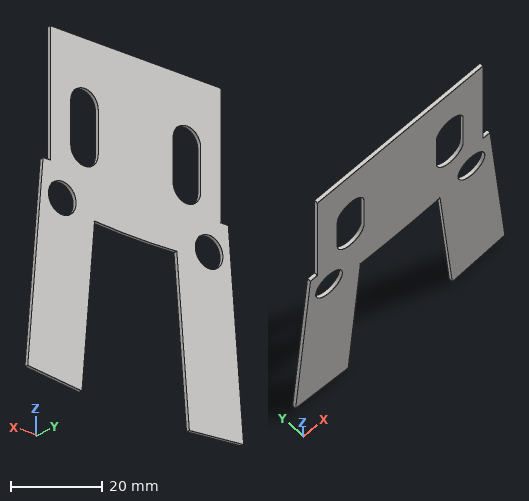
import cadquery as cq
import math

height = 85.1
overall_width = 63.2
thickness = 1.0

plate_width = 50.05
shoulder_z = 52.8

leg_width = 16.0
leg_angle = math.radians(5)
crotch_z = 42.0
crotch_sag = 0.3

opening_diameter = 8.0
slot_length = 18.6
slot_spacing = 30.0
slot_z = 63.7
hole_spacing = 43.0
hole_z = 44.7

outer_tip_x = overall_width / 2
outer_tip_z = leg_width * math.sin(leg_angle)
inner_tip_x = outer_tip_x - leg_width * math.cos(leg_angle)
shoulder_x = outer_tip_x - (shoulder_z - outer_tip_z) * math.tan(leg_angle)
crotch_x = inner_tip_x - crotch_z * math.tan(leg_angle)

right_side = [
    (plate_width / 2, height),
    (plate_width / 2, shoulder_z),
    (shoulder_x, shoulder_z),
    (outer_tip_x, outer_tip_z),
    (inner_tip_x, 0),
    (crotch_x, crotch_z),
]
left_side = [(-x, z) for x, z in reversed(right_side)]

body = (
    cq.Workplane("XZ")
    .polyline(right_side)
    .threePointArc((0, crotch_z - crotch_sag), left_side[0])
    .polyline(left_side[1:], includeCurrent=True)
    .close()
    .extrude(thickness / 2, both=True)
)

slots = (
    cq.Workplane("XZ")
    .pushPoints([(side * slot_spacing / 2, slot_z) for side in (-1, 1)])
    .slot2D(slot_length, opening_diameter, 90)
    .extrude(thickness, both=True)
)

holes = (
    cq.Workplane("XZ")
    .pushPoints([(side * hole_spacing / 2, hole_z) for side in (-1, 1)])
    .circle(opening_diameter / 2)
    .extrude(thickness, both=True)
)

result = body.cut(slots).cut(holes)